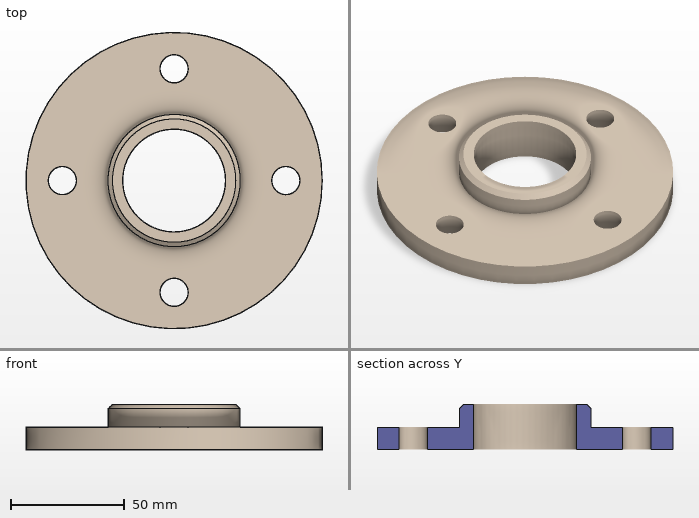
import cadquery as cq

flange_diameter = 130.0
flange_thickness = 10.0

total_height = 20.0
hub_diameter = 58.0
hub_chamfer = 2.0
bore_diameter = 45.0

bolt_circle_diameter = 98.0
bolt_hole_diameter = 12.2
bolt_count = 4

hub_height = total_height - flange_thickness


def make_flange():
    """Round plate resting on Z = 0."""
    return cq.Workplane("XY").circle(flange_diameter / 2).extrude(flange_thickness)


def make_hub():
    """Cylinder on top of the plate, chamfered around its upper rim."""
    hub = cq.Workplane("XY").workplane(offset=flange_thickness)
    hub = hub.circle(hub_diameter / 2).extrude(hub_height)
    return hub.faces(">Z").edges().chamfer(hub_chamfer)


def make_bore():
    """Central hole through the hub and the plate."""
    return cq.Workplane("XY").circle(bore_diameter / 2).extrude(total_height)


def make_bolt_holes():
    """Through holes evenly spaced on the bolt circle, the first on the X axis."""
    holes = cq.Workplane("XY").polarArray(bolt_circle_diameter / 2, 0, 360, bolt_count)
    return holes.circle(bolt_hole_diameter / 2).extrude(flange_thickness)


result = make_flange().union(make_hub()).cut(make_bore()).cut(make_bolt_holes())